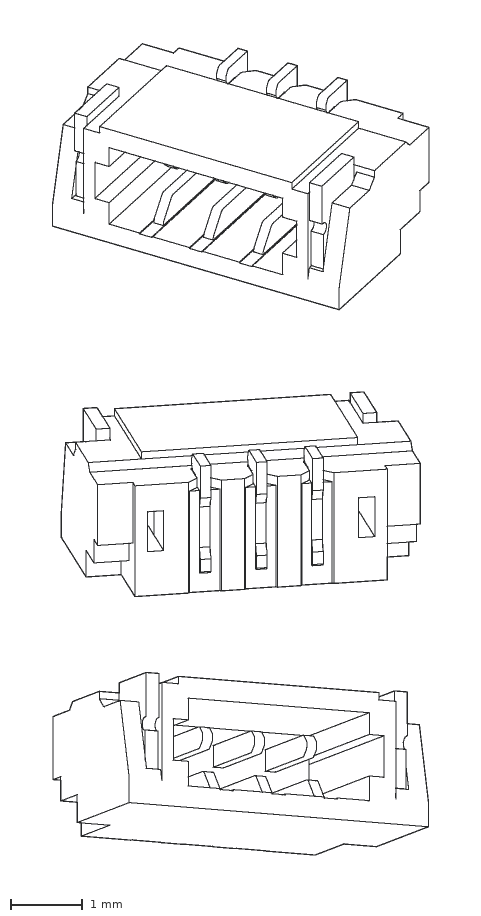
import cadquery as cq


WIDTH = 4.6
REAR_Y = 2.705
SHOULDER_TOP = 1.745
REAR_TOP = 1.638
DECK_CHAMFER_FRONT = 1.895
DECK_CHAMFER_REAR = 2.005
PLATEAU_HALF_WIDTH = 1.54
PLATEAU_TOP = 1.85
CORE_HALF_WIDTH = 1.8

CAVITY_HALF_WIDTH = 1.39
CAVITY_FLOOR = 0.305
CAVITY_TOP = 1.55
CAVITY_DEPTH = 2.025
WINDOW_HALF_WIDTH = 1.62
WINDOW_BOTTOM = 0.655
WINDOW_TOP = 1.24

WING_WIDTH = WIDTH / 2 - CORE_HALF_WIDTH
POCKET_REAR = 1.005
POCKET_CHAMFER_TOP = 1.638
POCKET_CHAMFER_FRONT = 0.855
POCKET_FLOOR = 1.5
SLOPE_TOP_Y = 0.305
SLOPE_BOTTOM = 0.355
WING_REAR = 2.555
UPPER_STEP_Y = 2.295
UPPER_STEP_Z = 0.74
LOWER_STEP_Y = 1.745
LOWER_STEP_Z = 0.395

TAB_THICKNESS = 0.2
TAB_SIDE_GAP = 0.02
TAB_TOP = 1.885
TAB_NOSE_Y = 0.09
TAB_SHANK_Y = 0.135
TAB_NOTCH_RADIUS = 0.09
TAB_NOTCH_Z = 1.17
TAB_NOSE_RADIUS = 0.025
TAB_SEAT = 0.515
RIGHT_TAB_FORWARD = 0.045
RIGHT_TAB_LIFT = 0.015

PITCH = 0.8
CONTACT_COUNT = 3
CONTACT_WIDTH = 0.15
CONTACT_TOP = 1.88
CONTACT_REAR = 2.75
CONTACT_BOTTOM = 0.29
COLUMN_FRONT = 2.39
TAIL_TIP_Y = 2.14
TAIL_TOP_BEVEL_LENGTH = 0.06
TAIL_TOP_BEVEL_HEIGHT = 0.095
TAIL_BOTTOM_BEVEL_LENGTH = 0.04
TAIL_BOTTOM_BEVEL_HEIGHT = 0.075
TAIL_RADIUS = 0.055

UPPER_PRONG_TOP = 1.305
UPPER_PRONG_BOTTOM = 1.0
UPPER_PRONG_TIP_Y = 0.645
UPPER_PRONG_TOP_BEVEL = 0.105
UPPER_PRONG_UNDER_LENGTH = 0.11
UPPER_PRONG_UNDER_HEIGHT = 0.1
UPPER_PRONG_TOP_RADIUS = 0.045
UPPER_PRONG_UNDER_RADIUS = 0.055

LOWER_PRONG_TIP_Y = 0.36
LOWER_PRONG_TOP = 0.655
RAMP_FOOT_Z = 0.335
RAMP_HEAD_Y = 0.61
RAMP_FOOT_RADIUS = 0.1
RAMP_HEAD_RADIUS = 0.08

REAR_GROOVE_DEPTH = 0.02
CONTACT_BACK_Y = REAR_Y - REAR_GROOVE_DEPTH
HOLLOW_TOP = 1.408
HOLLOW_TOP_INNER = 1.255
HOLLOW_BOTTOM_INNER = 0.66
HOLLOW_BOTTOM = 0.5
HEEL_BEVEL = 0.028

TAIL_SLOT_WIDTH = 0.165
LEAD_IN_HALF_WIDTH = 0.235
LEAD_IN_LENGTH = LEAD_IN_HALF_WIDTH - TAIL_SLOT_WIDTH / 2
LEAD_IN_DEPTH = 0.14
FLOOR_GROOVE_WIDTH = 0.202

CONTACT_XS = [(i - (CONTACT_COUNT - 1) / 2) * PITCH for i in range(CONTACT_COUNT)]


def box(x0, x1, y0, y1, z0, z1):
    """Box between two opposite corners."""
    return cq.Workplane("XY").box(x1 - x0, y1 - y0, z1 - z0, centered=False).translate((x0, y0, z0))


def side_plate(points, x0, x1):
    """Plate with a (Y, Z) outline, reaching from x0 to x1."""
    return cq.Workplane("YZ").polyline(points).close().extrude(x1 - x0).translate((x0, 0, 0))


def round_edge(body, y, z, radius):
    """Fillet the edge along X that lies nearest to (y, z)."""
    middle = body.val().Center().x
    return body.edges("|X").edges(cq.NearestToPointSelector((middle, y, z))).fillet(radius)


def make_contact(x):
    tail_top_bevel = (TAIL_TIP_Y + TAIL_TOP_BEVEL_LENGTH, CONTACT_TOP)
    tail_nose = (TAIL_TIP_Y, CONTACT_TOP - TAIL_TOP_BEVEL_HEIGHT)
    prong_top_bevel = (UPPER_PRONG_TIP_Y + UPPER_PRONG_TOP_BEVEL, UPPER_PRONG_TOP)
    prong_nose = (UPPER_PRONG_TIP_Y, UPPER_PRONG_TOP - UPPER_PRONG_TOP_BEVEL)
    prong_chin = (UPPER_PRONG_TIP_Y, UPPER_PRONG_BOTTOM + UPPER_PRONG_UNDER_HEIGHT)
    prong_under = (UPPER_PRONG_TIP_Y + UPPER_PRONG_UNDER_LENGTH, UPPER_PRONG_BOTTOM)
    ramp_foot = (LOWER_PRONG_TIP_Y, RAMP_FOOT_Z)
    ramp_head = (RAMP_HEAD_Y, LOWER_PRONG_TOP)
    outline = [
        tail_top_bevel,
        (CONTACT_REAR, CONTACT_TOP),
        (CONTACT_REAR, HOLLOW_TOP),
        (CONTACT_BACK_Y, HOLLOW_TOP_INNER),
        (CONTACT_BACK_Y, HOLLOW_BOTTOM_INNER),
        (CONTACT_REAR, HOLLOW_BOTTOM),
        (CONTACT_REAR, CONTACT_BOTTOM + HEEL_BEVEL),
        (CONTACT_REAR - HEEL_BEVEL, CONTACT_BOTTOM),
        (LOWER_PRONG_TIP_Y, CONTACT_BOTTOM),
        ramp_foot,
        ramp_head,
        (COLUMN_FRONT, LOWER_PRONG_TOP),
        (COLUMN_FRONT, UPPER_PRONG_BOTTOM),
        prong_under,
        prong_chin,
        prong_nose,
        prong_top_bevel,
        (COLUMN_FRONT, UPPER_PRONG_TOP),
        (COLUMN_FRONT, REAR_TOP),
        (TAIL_TIP_Y + TAIL_BOTTOM_BEVEL_LENGTH, REAR_TOP),
        (TAIL_TIP_Y, REAR_TOP + TAIL_BOTTOM_BEVEL_HEIGHT),
        tail_nose,
    ]
    contact = side_plate(outline, x - CONTACT_WIDTH / 2, x + CONTACT_WIDTH / 2)
    rounded_corners = [
        (tail_top_bevel, TAIL_RADIUS),
        (tail_nose, TAIL_RADIUS),
        (prong_top_bevel, UPPER_PRONG_TOP_RADIUS),
        (prong_nose, UPPER_PRONG_TOP_RADIUS),
        (prong_chin, UPPER_PRONG_UNDER_RADIUS),
        (prong_under, UPPER_PRONG_UNDER_RADIUS),
        (ramp_foot, RAMP_FOOT_RADIUS),
        (ramp_head, RAMP_HEAD_RADIUS),
    ]
    for (y, z), radius in rounded_corners:
        contact = round_edge(contact, y, z, radius)
    return contact


def make_tab(side, forward, lift):
    """Solder tab on the left (side = -1) or right (side = 1), moved forward and up from its seat."""
    nose_bottom = TAB_NOTCH_Z + TAB_NOTCH_RADIUS
    tab = (
        cq.Workplane("YZ")
        .moveTo(POCKET_REAR, TAB_TOP)
        .lineTo(TAB_NOSE_Y, TAB_TOP)
        .lineTo(TAB_NOSE_Y, nose_bottom)
        .lineTo(TAB_SHANK_Y, nose_bottom)
        .threePointArc(
            (TAB_SHANK_Y + TAB_NOTCH_RADIUS, TAB_NOTCH_Z),
            (TAB_SHANK_Y, TAB_NOTCH_Z - TAB_NOTCH_RADIUS),
        )
        .lineTo(TAB_SHANK_Y, TAB_SEAT)
        .lineTo(POCKET_REAR, TAB_SEAT)
        .close()
        .extrude(TAB_THICKNESS / 2, both=True)
    )
    tab = round_edge(tab, TAB_NOSE_Y, nose_bottom, TAB_NOSE_RADIUS)
    return tab.translate((side * (CORE_HALF_WIDTH + TAB_THICKNESS / 2), -forward, lift))


def wing_cut(side):
    """Everything taken out of one end wing: front opening, tab slot and rear steps."""
    front_opening = [
        (POCKET_REAR, SHOULDER_TOP),
        (POCKET_REAR, POCKET_CHAMFER_TOP),
        (POCKET_CHAMFER_FRONT, POCKET_FLOOR),
        (SLOPE_TOP_Y, POCKET_FLOOR),
        (0, SLOPE_BOTTOM),
        (0, SHOULDER_TOP),
    ]
    tab_slot = [
        (0, SHOULDER_TOP),
        (0, TAB_SEAT),
        (POCKET_REAR, TAB_SEAT),
        (POCKET_REAR, SHOULDER_TOP),
    ]
    rear_steps = [
        (REAR_Y, REAR_TOP),
        (WING_REAR, REAR_TOP),
        (WING_REAR, UPPER_STEP_Z),
        (UPPER_STEP_Y, UPPER_STEP_Z),
        (UPPER_STEP_Y, LOWER_STEP_Z),
        (LOWER_STEP_Y, LOWER_STEP_Z),
        (LOWER_STEP_Y, 0),
        (REAR_Y, 0),
    ]
    inner = CORE_HALF_WIDTH
    cut = side_plate(front_opening, inner, inner + WING_WIDTH)
    cut = cut.union(side_plate(tab_slot, inner, inner + TAB_THICKNESS + TAB_SIDE_GAP))
    cut = cut.union(side_plate(rear_steps, inner, inner + WING_WIDTH))
    return cut if side > 0 else cut.mirror("YZ")


def side_window(side):
    """Window beside the cavity, open from the mating face to the rear."""
    inner, outer = sorted((side * CAVITY_HALF_WIDTH, side * WINDOW_HALF_WIDTH))
    return box(inner, outer, 0, REAR_Y, WINDOW_BOTTOM, WINDOW_TOP)


def floor_groove(x):
    """Shallow groove in the cavity floor along a contact."""
    half = FLOOR_GROOVE_WIDTH / 2
    return box(x - half, x + half, 0, CAVITY_DEPTH, CONTACT_BOTTOM, CAVITY_FLOOR)


def tail_slot(x):
    """Slot in the rear deck under a contact tail, slightly wider than the tail."""
    half = TAIL_SLOT_WIDTH / 2
    return box(x - half, x + half, TAIL_TIP_Y, REAR_Y, REAR_TOP - LEAD_IN_DEPTH, REAR_TOP)


def lead_in(x):
    """V-shaped lead-in at the rear top edge, carried down the rear face as a shallow groove."""
    rear_left = (x - LEAD_IN_HALF_WIDTH, REAR_Y)
    rear_right = (x + LEAD_IN_HALF_WIDTH, REAR_Y)

    def tapered(length, bottom):
        half = LEAD_IN_HALF_WIDTH - length
        points = [rear_left, (x - half, REAR_Y - length), (x + half, REAR_Y - length), rear_right]
        return cq.Workplane("XY").workplane(offset=bottom).polyline(points).close().extrude(REAR_TOP - bottom)

    return tapered(LEAD_IN_LENGTH, REAR_TOP - LEAD_IN_DEPTH).union(tapered(REAR_GROOVE_DEPTH, 0))


def make_housing(contacts):
    profile = [
        (0, 0),
        (REAR_Y, 0),
        (REAR_Y, REAR_TOP),
        (DECK_CHAMFER_REAR, REAR_TOP),
        (DECK_CHAMFER_FRONT, SHOULDER_TOP),
        (0, SHOULDER_TOP),
    ]
    housing = side_plate(profile, -WIDTH / 2, WIDTH / 2)
    housing = housing.union(
        box(-PLATEAU_HALF_WIDTH, PLATEAU_HALF_WIDTH, 0, DECK_CHAMFER_FRONT, SHOULDER_TOP, PLATEAU_TOP)
    )
    housing = housing.cut(
        box(-CAVITY_HALF_WIDTH, CAVITY_HALF_WIDTH, 0, CAVITY_DEPTH, CAVITY_FLOOR, CAVITY_TOP)
    )
    for side in (-1, 1):
        housing = housing.cut(side_window(side)).cut(wing_cut(side))
    for x, contact in zip(CONTACT_XS, contacts):
        housing = housing.cut(floor_groove(x)).cut(tail_slot(x)).cut(lead_in(x))
        housing = housing.cut(contact)
    return housing


contacts = [make_contact(x) for x in CONTACT_XS]
left_tab = make_tab(-1, 0, 0)
right_tab = make_tab(1, RIGHT_TAB_FORWARD, RIGHT_TAB_LIFT)
housing = make_housing(contacts)

result = cq.Compound.makeCompound(
    [housing.val(), *[contact.val() for contact in contacts], left_tab.val(), right_tab.val()]
)